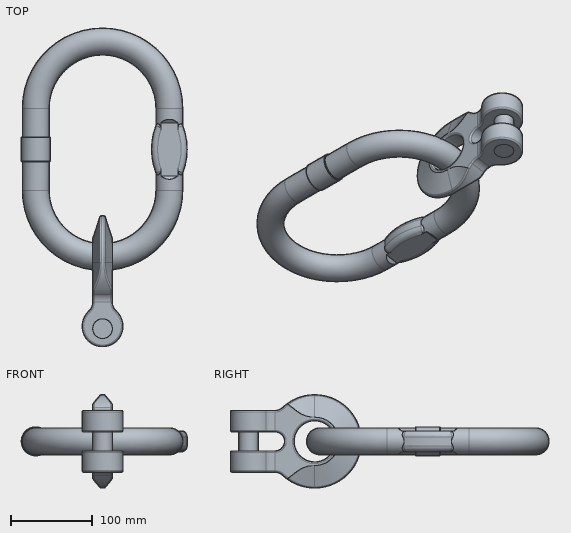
import cadquery as cq
import math

WIRE_DIA = 33
LINK_INNER_WIDTH = 130
LINK_STRAIGHT = 100
LINK_BEND_RADIUS = (LINK_INNER_WIDTH + WIRE_DIA) / 2

COLLAR_DIA = 35.48
COLLAR_LENGTH = 30.5
COLLAR_CHAMFER = 0.9

PAD_HALF_WIDTH = 21.87
PAD_SIDE_RADIUS = 80
PAD_HALF_THICKNESS = 12.9
PAD_HALF_LENGTH = 34
PAD_EDGE_ROUND = 7.5
PAD_CORNER_RADIUS = 8
FLAT_HALF_LENGTH = 32.3
FLAT_RAMP_LENGTH = 4.3

EYE_Y = -138
EYE_RADIUS = 57
EYE_HOLE_DIA = 50
SHACKLE_THICKNESS = 24
LUG_DIA = 50
LUG_Y = -215.87
FORK_HEIGHT = 75.5
FORK_GAP = 23
NECK_RADIUS = 15
EDGE_ROUND = 2

TAPER_START_RADIUS = 29.5
RIM_HALF_WIDTH = 3
TAPER_END_Y = -171
TAPER_END_Z = 46
TAPER_END_RISE = 0.52

PIN_DIA = 24
PIN_Y = LUG_Y - 3

WIRE_RADIUS = WIRE_DIA / 2
HALF_STRAIGHT = LINK_STRAIGHT / 2
HALF_THICKNESS = SHACKLE_THICKNESS / 2
HALF_FORK = FORK_HEIGHT / 2
HALF_GAP = FORK_GAP / 2
LUG_RADIUS = LUG_DIA / 2
LUG_END_Y = LUG_Y - LUG_RADIUS
FLARE_X = HALF_THICKNESS + NECK_RADIUS
FLARE_REACH = LUG_RADIUS + NECK_RADIUS
FLARE_Y = LUG_Y + math.sqrt(FLARE_REACH**2 - FLARE_X**2)
TAPER_SLOPE = (EYE_RADIUS - TAPER_START_RADIUS) / (HALF_THICKNESS - RIM_HALF_WIDTH)
MARGIN = 5


def wire_path():
    """Centre line of the link: two straight legs and two half circles."""
    end_y = HALF_STRAIGHT + LINK_BEND_RADIUS
    return (
        cq.Workplane("XY")
        .moveTo(-LINK_BEND_RADIUS, 0)
        .lineTo(-LINK_BEND_RADIUS, HALF_STRAIGHT)
        .threePointArc((0, end_y), (LINK_BEND_RADIUS, HALF_STRAIGHT))
        .lineTo(LINK_BEND_RADIUS, -HALF_STRAIGHT)
        .threePointArc((0, -end_y), (-LINK_BEND_RADIUS, -HALF_STRAIGHT))
        .close()
    )


def make_collar():
    """Round collar with chamfered ends."""
    return (
        cq.Workplane("XZ", origin=(-LINK_BEND_RADIUS, 0, 0))
        .circle(COLLAR_DIA / 2)
        .extrude(COLLAR_LENGTH / 2, both=True)
        .faces("<Y or >Y")
        .chamfer(COLLAR_CHAMFER)
    )


def make_pad_flats():
    """Material removed above and below the wire, with a ramp at each end."""
    depth = WIRE_RADIUS - PAD_HALF_THICKNESS
    ramp_end = FLAT_HALF_LENGTH + FLAT_RAMP_LENGTH
    upper = (
        cq.Workplane("YZ", origin=(LINK_BEND_RADIUS, 0, PAD_HALF_THICKNESS))
        .polyline([
            (-FLAT_HALF_LENGTH, 0),
            (FLAT_HALF_LENGTH, 0),
            (ramp_end, depth),
            (-ramp_end, depth),
        ])
        .close()
        .extrude(WIRE_RADIUS, both=True)
    )
    return upper.union(upper.mirror("XY"))


def make_pad():
    """Pad with bowed sides, rounded corners and rounded top and bottom edges."""
    side_drop = PAD_SIDE_RADIUS - math.sqrt(PAD_SIDE_RADIUS**2 - PAD_HALF_LENGTH**2)
    end_half_width = PAD_HALF_WIDTH - side_drop
    return (
        cq.Workplane("XY", origin=(LINK_BEND_RADIUS, 0, 0))
        .moveTo(-end_half_width, -PAD_HALF_LENGTH)
        .lineTo(end_half_width, -PAD_HALF_LENGTH)
        .threePointArc((PAD_HALF_WIDTH, 0), (end_half_width, PAD_HALF_LENGTH))
        .lineTo(-end_half_width, PAD_HALF_LENGTH)
        .threePointArc((-PAD_HALF_WIDTH, 0), (-end_half_width, -PAD_HALF_LENGTH))
        .close()
        .extrude(PAD_HALF_THICKNESS, both=True)
        .edges("|Z")
        .fillet(PAD_CORNER_RADIUS)
        .faces("<Z or >Z")
        .fillet(PAD_EDGE_ROUND)
    )


def make_link():
    """Swept wire with its flattened pad and its collar, as one solid."""
    section = cq.Workplane("XZ", origin=(-LINK_BEND_RADIUS, 0, 0)).circle(WIRE_RADIUS)
    wire = section.sweep(wire_path())
    return wire.cut(make_pad_flats()).union(make_pad()).union(make_collar())


def make_plan_block():
    """Shackle outline from above: a straight band that flares into the round lugs."""
    share = LUG_RADIUS / FLARE_REACH
    lug_x = FLARE_X * share
    lug_y = LUG_Y + (FLARE_Y - LUG_Y) * share
    angle = math.atan2(lug_y - FLARE_Y, lug_x - FLARE_X)
    middle = (math.pi + angle % (2 * math.pi)) / 2
    mid_x = FLARE_X + NECK_RADIUS * math.cos(middle)
    mid_y = FLARE_Y + NECK_RADIUS * math.sin(middle)
    top_y = EYE_Y + EYE_RADIUS + MARGIN
    return (
        cq.Workplane("XY")
        .moveTo(-HALF_THICKNESS, top_y)
        .lineTo(-HALF_THICKNESS, FLARE_Y)
        .threePointArc((-mid_x, mid_y), (-lug_x, lug_y))
        .threePointArc((0, LUG_END_Y), (lug_x, lug_y))
        .threePointArc((mid_x, mid_y), (HALF_THICKNESS, FLARE_Y))
        .lineTo(HALF_THICKNESS, top_y)
        .close()
        .extrude(EYE_RADIUS + MARGIN, both=True)
    )


def make_side_block():
    """Shackle outline from the side: the round eye blended into the fork."""
    offset = EYE_Y - FLARE_Y
    blend_radius = (offset**2 + HALF_FORK**2 - EYE_RADIUS**2) / (2 * (EYE_RADIUS - HALF_FORK))
    blend_z = HALF_FORK + blend_radius
    reach = EYE_RADIUS + blend_radius
    share = EYE_RADIUS / reach
    eye_y = EYE_Y + (FLARE_Y - EYE_Y) * share
    eye_z = blend_z * share
    angle = math.atan2(eye_z - blend_z, eye_y - FLARE_Y)
    middle = (angle - math.pi / 2) / 2
    mid_y = FLARE_Y + blend_radius * math.cos(middle)
    mid_z = blend_z + blend_radius * math.sin(middle)
    outline = (
        cq.Workplane("YZ")
        .moveTo(LUG_END_Y - MARGIN, -HALF_FORK)
        .lineTo(FLARE_Y, -HALF_FORK)
        .threePointArc((mid_y, -mid_z), (eye_y, -eye_z))
        .threePointArc((EYE_Y + EYE_RADIUS, 0), (eye_y, eye_z))
        .threePointArc((mid_y, mid_z), (FLARE_Y, HALF_FORK))
        .lineTo(LUG_END_Y - MARGIN, HALF_FORK)
        .close()
        .extrude(LUG_RADIUS + MARGIN, both=True)
    )
    gap = (
        cq.Workplane("YZ")
        .moveTo(LUG_END_Y - MARGIN, -HALF_GAP)
        .lineTo(FLARE_Y, -HALF_GAP)
        .threePointArc((FLARE_Y + HALF_GAP, 0), (FLARE_Y, HALF_GAP))
        .lineTo(LUG_END_Y - MARGIN, HALF_GAP)
        .close()
        .extrude(LUG_RADIUS + MARGIN, both=True)
    )
    eye_hole = (
        cq.Workplane("YZ", origin=(0, EYE_Y, 0))
        .circle(EYE_HOLE_DIA / 2)
        .extrude(LUG_RADIUS, both=True)
    )
    return outline.cut(gap).cut(eye_hole)


def make_cone_taper():
    """Material removed from the +X face on the half of the eye away from the fork."""
    outer = EYE_RADIUS + MARGIN
    outer_x = HALF_THICKNESS - (outer - TAPER_START_RADIUS) / TAPER_SLOPE
    return (
        cq.Workplane("XY", origin=(0, EYE_Y, 0))
        .polyline([(HALF_THICKNESS, TAPER_START_RADIUS), (outer_x, outer), (HALF_THICKNESS, outer)])
        .close()
        .revolve(180, (0, 0, 0), (1, 0, 0))
        .rotate((0, EYE_Y, 0), (1, EYE_Y, 0), -90)
    )


def make_run_out_taper():
    """Material removed from the +X face beside the fork, where the taper climbs to the rim."""
    end_y = TAPER_END_Y - MARGIN
    end_z = TAPER_END_Z + TAPER_END_RISE * MARGIN
    top_z = EYE_RADIUS * 2
    face = (
        cq.Workplane("YZ", origin=(HALF_THICKNESS, 0, 0))
        .moveTo(EYE_Y, TAPER_START_RADIUS)
        .spline([(end_y, end_z)], tangents=[(-1, 0), (-1, TAPER_END_RISE)], includeCurrent=True)
        .lineTo(end_y, top_z)
        .lineTo(EYE_Y, top_z)
        .close()
    )
    depth = HALF_THICKNESS - RIM_HALF_WIDTH / 2
    slant = cq.Vector(-depth, 0, depth * TAPER_SLOPE)
    return cq.Workplane(cq.Solid.extrudeLinear(face.val(), [], slant))


def make_shackle():
    """Eye and fork, cut to both outlines, thinned towards the rim and rounded."""
    body = make_side_block().intersect(make_plan_block())
    run_out = make_run_out_taper()
    taper = make_cone_taper().union(run_out).union(run_out.mirror("XY"))
    body = body.cut(taper).cut(taper.mirror("YZ"))
    return body.faces("%CYLINDER").edges("not %LINE").fillet(EDGE_ROUND)


def make_pin():
    """Plain pin, flush with the outer faces of the lugs."""
    return (
        cq.Workplane("XY", origin=(0, PIN_Y, -HALF_FORK))
        .circle(PIN_DIA / 2)
        .extrude(FORK_HEIGHT)
    )


link = make_link()
pin = make_pin()
shackle = make_shackle().cut(pin)

result = cq.Compound.makeCompound([link.val(), shackle.val(), pin.val()])